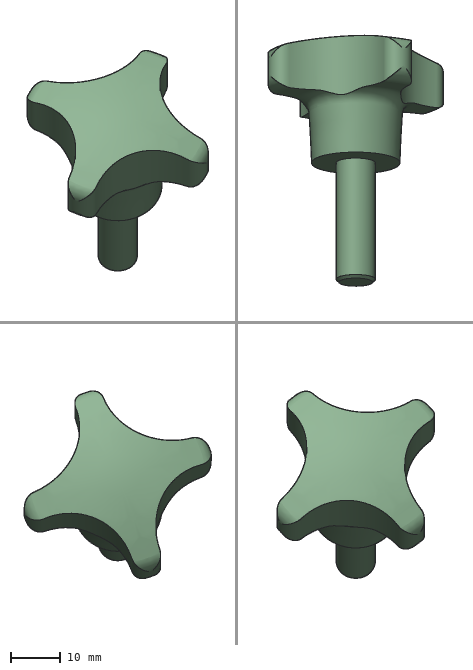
import cadquery as cq
import math

total_height = 50.0
head_radius = 20.0
head_underside = 38.0

arm_tip_radius = 3.0
arm_tip_center = head_radius - arm_tip_radius
valley_radius = arm_tip_center - arm_tip_radius
arm_count = 4

dome_radius = 59.0
rim_radius = 3.0

hub_base = 25.0
hub_shoulder = 35.25
hub_base_radius = 9.0
hub_top_radius = 9.5
hub_fillet = head_underside - hub_shoulder
stem_radius = 4.0
stem_chamfer = 0.6


def dome_height(radius):
    """Height of the spherical crown at a distance from the axis."""
    return total_height - dome_radius + math.sqrt(dome_radius**2 - radius**2)


def make_round_head():
    """Domed round head, flared at the bottom into the hub."""
    rim_center = head_radius - rim_radius
    rim_reach = dome_radius - rim_radius
    rim_height = total_height - dome_radius + math.sqrt(rim_reach**2 - rim_center**2)
    dome_angle = math.asin(rim_center / rim_reach)
    dome_edge = dome_radius * math.sin(dome_angle)
    rim_mid_angle = (math.pi / 2 - dome_angle) / 2
    rim_mid = (
        rim_center + rim_radius * math.cos(rim_mid_angle),
        rim_height + rim_radius * math.sin(rim_mid_angle),
    )
    return (
        cq.Workplane("XZ")
        .moveTo(0, hub_shoulder)
        .lineTo(hub_top_radius, hub_shoulder)
        .radiusArc((hub_top_radius + hub_fillet, head_underside), hub_fillet)
        .lineTo(rim_center, head_underside)
        .radiusArc((head_radius, head_underside + rim_radius), -rim_radius)
        .lineTo(head_radius, rim_height)
        .threePointArc(rim_mid, (dome_edge, dome_height(dome_edge)))
        .threePointArc((dome_edge / 2, dome_height(dome_edge / 2)), (0, total_height))
        .close()
        .revolve(360, (0, 0), (0, 1))
    )


def make_star():
    """Upright prism with rounded arms and round valleys between them."""
    height = total_height - hub_shoulder
    center_square = 2 * arm_tip_center
    star = cq.Workplane("XY").workplane(offset=hub_shoulder).rect(center_square, center_square).extrude(height)
    valleys = (
        cq.Workplane("XY")
        .workplane(offset=hub_shoulder)
        .rect(center_square, center_square, forConstruction=True)
        .vertices()
        .circle(valley_radius)
        .extrude(height)
    )
    tips = (
        cq.Workplane("XY")
        .workplane(offset=hub_shoulder)
        .polarArray(arm_tip_center, 0, 360, arm_count)
        .circle(arm_tip_radius)
        .extrude(height)
    )
    return star.cut(valleys).union(tips)


def make_hub_and_stem():
    """Tapered hub on a plain stem with a chamfered end."""
    return (
        cq.Workplane("XZ")
        .polyline(
            [
                (0, 0),
                (stem_radius - stem_chamfer, 0),
                (stem_radius, stem_chamfer),
                (stem_radius, hub_base),
                (hub_base_radius, hub_base),
                (hub_top_radius, hub_shoulder),
                (0, hub_shoulder),
            ]
        )
        .close()
        .revolve(360, (0, 0), (0, 1))
    )


result = make_round_head().intersect(make_star()).union(make_hub_and_stem())